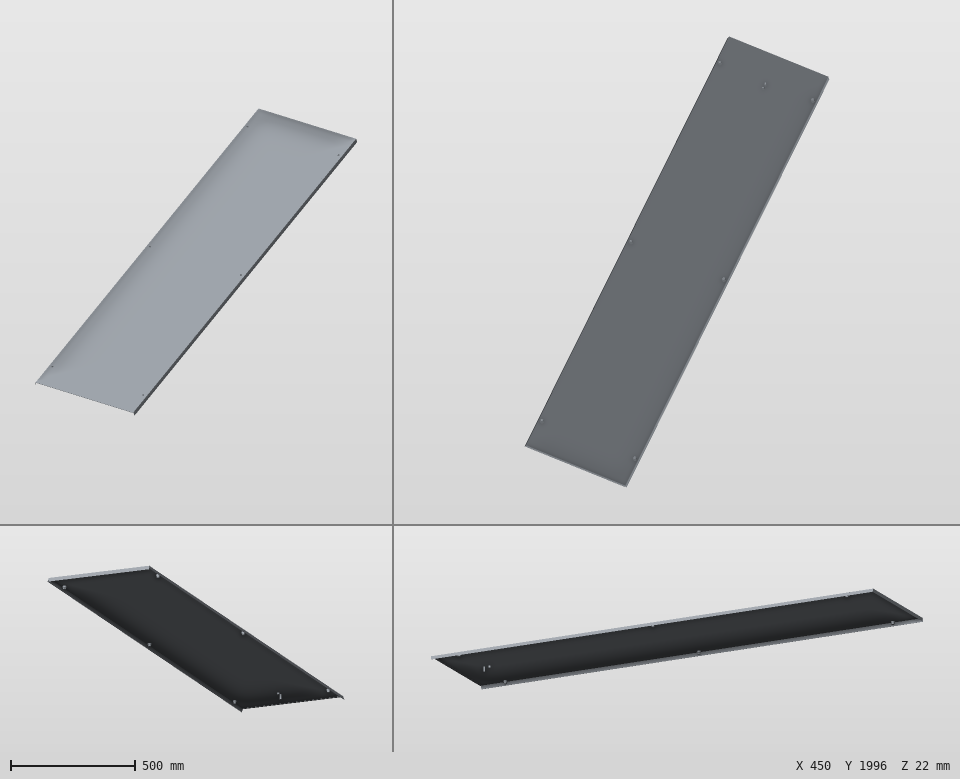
import cadquery as cq

length = 1996.0
bottom_width = 450.0
top_width = 440.0
tray_height = 15.0
sheet = 0.8
side_setback = 3.0

hem_depth = 10.0
hem_width = top_width - 4 * sheet

overall_height = 22.0
long_stud_diameter = 8.0
long_stud_y = -868.0
short_stud_diameter = 10.0
short_stud_y = -845.0
short_stud_height = 8.0

screw_row_spacing = 410.0
screw_pitch = 875.0
middle_screw_y = -3.0
head_diameter = 15.0
head_height = 8.0
shank_diameter = 12.0
screw_length = 14.0
socket_diameter = 8.0
socket_depth = 4.0
screw_points = [
    (side * screw_row_spacing / 2, middle_screw_y + place * screw_pitch)
    for side in (-1, 1)
    for place in (-1, 0, 1)
]


def hanging_cylinder(x, y, diameter, height):
    """Upright cylinder that hangs down from the top face of the deck."""
    return cq.Workplane("XY").center(x, y).circle(diameter / 2).extrude(-height)


def hanging_box(x_size, y_size, z_size, y, top):
    """Box centred on X = 0 and on the given Y, with its top face at the given Z."""
    return cq.Workplane("XY").box(x_size, y_size, z_size).translate((0, y, top - z_size / 2))


def make_side_wall(side):
    """Wall along one long edge, leaning outward toward its foot and ending short of the front."""
    top_x = top_width / 2
    foot_x = bottom_width / 2
    return (
        cq.Workplane("XZ", origin=(0, length / 2, 0))
        .moveTo(side * top_x, 0)
        .lineTo(side * foot_x, -tray_height)
        .lineTo(side * (foot_x - sheet), -tray_height)
        .lineTo(side * (top_x - sheet), 0)
        .close()
        .extrude(length - side_setback)
    )


def make_tray():
    """Deck with side walls, back wall, front hem, studs and screw holes, as one solid."""
    tray = hanging_box(top_width, length, sheet, 0, 0)
    for side in (-1, 1):
        tray = tray.union(make_side_wall(side))

    tray = tray.union(hanging_box(top_width, sheet, tray_height, (length - sheet) / 2, 0))
    tray = tray.union(hanging_box(hem_width, hem_depth, sheet, (hem_depth - length) / 2, -sheet))

    tray = tray.union(hanging_cylinder(0, long_stud_y, long_stud_diameter, overall_height))
    tray = tray.union(hanging_cylinder(0, short_stud_y, short_stud_diameter, short_stud_height))

    for x, y in screw_points:
        tray = tray.cut(hanging_cylinder(x, y, head_diameter, sheet))
    return tray


def make_screw(x, y):
    """Screw with its head flush with the deck and a round drive socket in the head."""
    head = hanging_cylinder(x, y, head_diameter, head_height)
    shank = hanging_cylinder(x, y, shank_diameter, screw_length)
    socket = hanging_cylinder(x, y, socket_diameter, socket_depth)
    return head.union(shank).cut(socket)


tray = make_tray()
screws = [make_screw(x, y).val() for x, y in screw_points]
result = cq.Compound.makeCompound([tray.val(), *screws])